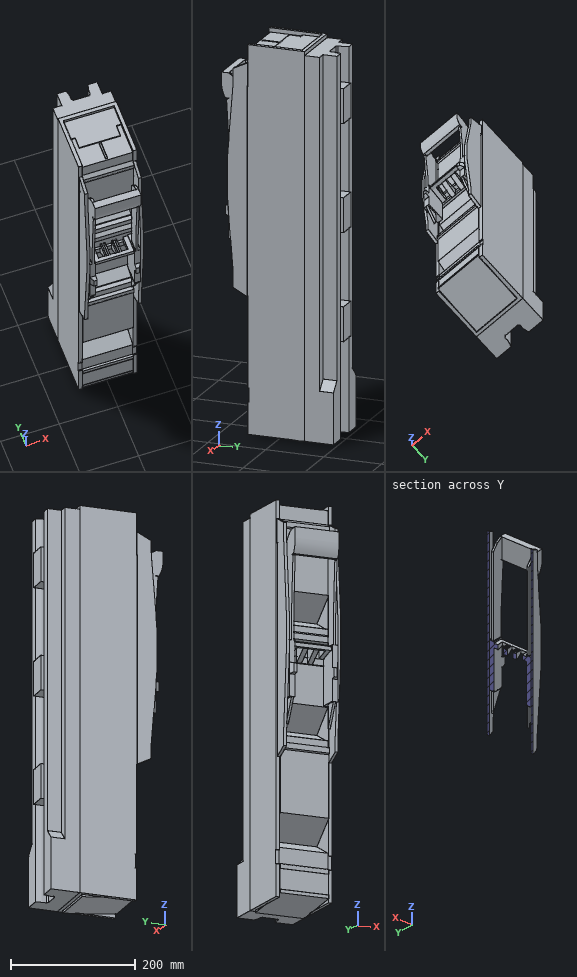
import cadquery as cq

width = 100.0
top_z = 665.0
split_y = 98.5

base_top_z = 658.0
base_bottom_z = 4.0
base_back_y = 148.0
corner_notch_width = 15.0
corner_notch_y = 124.5
corner_notch_bottom_z = 92.5
corner_notch_rise = 16.0
groove_mouth_half = 18.5

contact_half = 16.0
contact_height = 59.0
contact_front_y = 128.0
contact_back_y = 152.0
contact_chamfer = 2.5
first_contact_z = 199.0
pole_pitch = 185.0
pole_count = 3

inner_half = 43.0
channel_back_y = 92.0
recessed_face_y = 2.0
channel_top_z = 634.0
top_floor_z = 657.5
top_plate_rise = 2.0
top_plate_half = 35.0
top_plate_step_y = 58.0
top_plate_front_y = 38.0
top_slit_width = 3.0
top_slit_depth = 2.5
top_slit_front_y = 5.0
wall_notch_top_z = 82.5
lower_ledge_z = 59.0

terminal_recess = 0.5
terminal_recess_top_z = 51.0
terminal_recess_bottom_z = 16.5
terminal_front_bottom_z = 10.5
lowest_floor_front_z = 87.0

panel_y = -2.0
strip_y = -4.5
ledge_back_y = 10.0
hollow_y = 43.0
panel_pitch = 185.5
lowest_panel_bottom_z = 144.0
hollow_roof_drop = 36.5
hollow_floor_drop = 16.5
lip_height = 2.0
strip_step = 2.0
top_strip_z = 629.0
top_strip_bottom_z = 620.5
middle_slope_top_z = 449.5
middle_strip_z = 445.5
middle_strip_bottom_z = 435.5
lower_strip_z = 261.0
lower_strip_bottom_z = 252.0
panel_rib_bottom_z = 397.0
panel_rib_top_z = 407.5
lower_panel_z, middle_panel_z, upper_panel_z = [
    lowest_panel_bottom_z + panel * panel_pitch for panel in range(pole_count)
]
lowest_hollow_z = lower_panel_z - hollow_roof_drop

wing_outer = 48.5
wing_shoulder_y = -26.0
wing_front_y = -36.0
wing_end_height = 12.5
wing_bottom_z = 237.0
wing_lower_bend_z = 274.5
wing_crest_bottom_z = 402.0
wing_crest_top_z = 469.5
wing_upper_bend_z = 593.0

arm_inner = 35.0
arm_outer = 39.0
arm_back_y = -16.0
rail_inner = 33.0
rail_back_y = panel_y
rail_top_z = 424.0
rail_bottom_z = middle_panel_z
arm_tip_z = 289.0
arm_top_z = 590.0
arm_bend_z = 602.5
arm_neck_y = -41.0
arm_neck_z = 564.0
arm_knee_y = -39.0
arm_knee_z = 532.0
head_back_y = -37.0
head_front_y = -50.0
head_top_z = 609.0
head_bottom_z = 566.0
head_curve_top_z = 590.5
head_lip_y = -43.0
bar_front_y = -33.0
bar_back_y = -26.5
bar_top_z = 421.5
bar_bottom_z = 415.0
prong_inner = 5.0
prong_outer = 14.0
prong_groove_width = 3.0
prong_groove_depth = 2.5
bracket_inner = 25.0
tab_front_y = -43.0
tab_flat_outer = 38.5
tab_bottom_z = 367.0
tab_top_z = 386.0
tab_chamfer = 2.0


def box(x0, x1, y0, y1, z0, z1):
    """Box between two opposite corners."""
    return cq.Workplane("XY").box(x1 - x0, y1 - y0, z1 - z0, centered=False).translate((x0, y0, z0))


def side_profile(points, x0, x1):
    """Closed outline of (y, z) points extruded along X from x0 to x1."""
    return cq.Workplane("YZ").polyline(points).close().extrude(x1 - x0).translate((x0, 0, 0))


def mirrored(half):
    """A shape together with its mirror image across X = 0."""
    return half.union(half.mirror("YZ"))


def contact_outline():
    """Cross-section of a contact, with its front corners cut off."""
    shoulder_y = contact_front_y + contact_chamfer
    nose_half = contact_half - contact_chamfer
    return [
        (-contact_half, contact_back_y),
        (-contact_half, shoulder_y),
        (-nose_half, contact_front_y),
        (nose_half, contact_front_y),
        (contact_half, shoulder_y),
        (contact_half, contact_back_y),
    ]


def make_contact(centre_z):
    body = cq.Workplane("XY").polyline(contact_outline()).close().extrude(contact_height)
    return body.translate((0, 0, centre_z - contact_height / 2))


def make_base():
    half = width / 2
    base = box(-half, half, split_y, base_back_y, base_bottom_z, base_top_z)
    notch_inner = half - corner_notch_width
    notch = (
        cq.Workplane("XZ")
        .polyline([
            (half, corner_notch_bottom_z),
            (notch_inner, corner_notch_bottom_z + corner_notch_rise),
            (notch_inner, base_top_z),
            (half, base_top_z),
        ])
        .close()
        .extrude(-(base_back_y - corner_notch_y))
        .translate((0, corner_notch_y, 0))
    )
    base = base.cut(mirrored(notch))
    groove = cq.Workplane("XY").polyline(contact_outline()).close().extrude(top_z)
    flare_y = (contact_front_y + base_back_y) / 2
    flare = (
        cq.Workplane("XY")
        .polyline([
            (-contact_half, flare_y),
            (contact_half, flare_y),
            (groove_mouth_half, base_back_y),
            (-groove_mouth_half, base_back_y),
        ])
        .close()
        .extrude(top_z)
    )
    return base.cut(groove).cut(flare)


def make_housing():
    half = width / 2
    housing = box(-half, half, 0, split_y, base_bottom_z, top_z)
    housing = housing.cut(box(-inner_half, inner_half, 0, channel_back_y, 0, channel_top_z))
    housing = housing.cut(box(-inner_half, inner_half, 0, channel_back_y, top_floor_z, top_z))
    housing = housing.cut(box(-inner_half, inner_half, 0, recessed_face_y, channel_top_z, top_z))
    plate_z = top_floor_z + top_plate_rise
    wide_plate = box(-inner_half, inner_half, top_plate_step_y, channel_back_y, top_floor_z, plate_z)
    stem = box(-top_plate_half, top_plate_half, top_plate_front_y, top_plate_step_y, top_floor_z, plate_z)
    housing = housing.union(wide_plate).union(stem)
    slit_half = top_slit_width / 2
    slit_z = top_floor_z - top_slit_depth
    housing = housing.cut(
        box(-slit_half, slit_half, top_slit_front_y, top_plate_front_y, slit_z, top_floor_z)
    )
    return housing.cut(box(-half, half, 0, recessed_face_y, lower_ledge_z, wall_notch_top_z))


def hollow_points(panel_front_y, panel_bottom_z):
    """Outline of a finger hollow and the ledge below it, starting at the bottom edge of its panel."""
    apex_z = panel_bottom_z - hollow_roof_drop
    floor_z = apex_z - hollow_floor_drop
    return [
        (panel_front_y, panel_bottom_z),
        (hollow_y, apex_z),
        (ledge_back_y, floor_z),
        (ledge_back_y, floor_z - lip_height),
        (recessed_face_y, floor_z - lip_height),
    ]


def make_cover():
    profile = [
        (channel_back_y, channel_top_z),
        (recessed_face_y, channel_top_z),
        (strip_y, top_strip_z),
        (strip_y, top_strip_bottom_z),
        (panel_y, top_strip_bottom_z - strip_step),
        *hollow_points(panel_y, upper_panel_z),
        (recessed_face_y, middle_slope_top_z),
        (strip_y, middle_strip_z),
        (strip_y, middle_strip_bottom_z),
        (recessed_face_y, middle_strip_bottom_z - strip_step),
        (recessed_face_y, panel_rib_top_z),
        (panel_y, panel_rib_top_z),
        (panel_y, panel_rib_bottom_z),
        (recessed_face_y, panel_rib_bottom_z),
        *hollow_points(recessed_face_y, middle_panel_z),
        (recessed_face_y, lower_strip_z),
        (strip_y, lower_strip_z),
        (strip_y, lower_strip_bottom_z),
        (panel_y, lower_strip_bottom_z - strip_step),
        (panel_y, lower_panel_z),
        (hollow_y, lowest_hollow_z),
        (channel_back_y, lowest_hollow_z),
    ]
    return side_profile(profile, -inner_half, inner_half).union(mirrored(make_wing()))


def make_wing():
    return side_profile(
        [
            (0, channel_top_z),
            (wing_shoulder_y, channel_top_z - wing_end_height),
            (wing_shoulder_y, wing_upper_bend_z),
            (wing_front_y, wing_crest_top_z),
            (wing_front_y, wing_crest_bottom_z),
            (wing_shoulder_y, wing_lower_bend_z),
            (wing_shoulder_y, wing_bottom_z + wing_end_height),
            (panel_y, wing_bottom_z),
            (panel_y, wing_upper_bend_z),
            (0, wing_upper_bend_z),
        ],
        inner_half,
        wing_outer,
    )


def make_terminal_cover():
    profile = [
        (channel_back_y, lowest_hollow_z),
        (hollow_y, lowest_hollow_z),
        (recessed_face_y, lowest_floor_front_z),
        (recessed_face_y, lower_ledge_z),
        (panel_y, lower_ledge_z),
        (panel_y, terminal_recess_top_z),
        (panel_y + terminal_recess, terminal_recess_top_z),
        (panel_y + terminal_recess, terminal_recess_bottom_z),
        (panel_y, terminal_recess_bottom_z),
        (panel_y, terminal_front_bottom_z),
        (channel_back_y, 0),
    ]
    return side_profile(profile, -inner_half, inner_half)


def make_lever():
    arm = side_profile(
        [
            (arm_back_y, arm_top_z),
            (wing_shoulder_y, arm_bend_z),
            (head_back_y, head_top_z),
            (head_back_y, head_bottom_z),
            (arm_neck_y, arm_neck_z),
            (arm_knee_y, arm_knee_z),
            (wing_front_y, wing_crest_top_z),
            (wing_front_y, rail_bottom_z),
            (arm_back_y, arm_tip_z),
        ],
        arm_inner,
        arm_outer,
    )
    rail = side_profile(
        [
            (rail_back_y, rail_top_z),
            (wing_front_y, rail_top_z),
            (wing_front_y, rail_bottom_z),
            (rail_back_y, rail_bottom_z),
        ],
        rail_inner,
        inner_half,
    )
    lever = mirrored(arm.union(rail).union(make_tab()))
    lever = lever.union(make_head())
    lever = lever.union(box(-rail_inner, rail_inner, bar_front_y, bar_back_y, bar_bottom_z, bar_top_z))
    prong = make_gusset(prong_inner, prong_outer, panel_rib_bottom_z).cut(make_prong_groove())
    bracket = make_gusset(bracket_inner, rail_inner, panel_rib_top_z)
    return lever.union(mirrored(prong.union(bracket)))


def make_gusset(x0, x1, foot_z):
    return side_profile(
        [
            (bar_back_y, bar_top_z),
            (rail_back_y, bar_top_z),
            (rail_back_y, foot_z),
            (bar_back_y, bar_bottom_z),
        ],
        x0,
        x1,
    )


def make_prong_groove():
    """Shallow groove along the top of a prong."""
    centre = (prong_inner + prong_outer) / 2
    half = prong_groove_width / 2
    groove_z = bar_top_z - prong_groove_depth
    return box(centre - half, centre + half, bar_back_y, rail_back_y, groove_z, bar_top_z)


def make_head():
    profile = (
        cq.Workplane("YZ", origin=(-arm_outer, 0, 0))
        .moveTo(head_back_y, head_bottom_z)
        .lineTo(head_back_y, head_top_z)
        .lineTo(head_front_y, head_top_z)
        .lineTo(head_front_y, head_curve_top_z)
        .tangentArcPoint((head_lip_y, head_bottom_z), relative=False)
        .close()
    )
    return profile.extrude(2 * arm_outer)


def make_tab():
    """Raised tab on a rail, with a steep outer flank and sloped ends."""
    tab = (
        cq.Workplane("XY")
        .polyline([
            (rail_inner, wing_front_y),
            (inner_half, wing_front_y),
            (tab_flat_outer, tab_front_y),
            (rail_inner, tab_front_y),
        ])
        .close()
        .extrude(top_z)
    )
    sloped_ends = side_profile(
        [
            (wing_front_y, tab_bottom_z),
            (tab_front_y, tab_bottom_z + tab_chamfer),
            (tab_front_y, tab_top_z - tab_chamfer),
            (wing_front_y, tab_top_z),
        ],
        rail_inner,
        inner_half,
    )
    return tab.intersect(sloped_ends)


base = make_base()
housing = make_housing()
cover = make_cover()
terminal_cover = make_terminal_cover()
lever = make_lever()
contacts = [make_contact(first_contact_z + pole * pole_pitch) for pole in range(pole_count)]

result = cq.Compound.makeCompound([
    base.val(),
    housing.val(),
    cover.val(),
    terminal_cover.val(),
    lever.val(),
    *[contact.val() for contact in contacts],
])